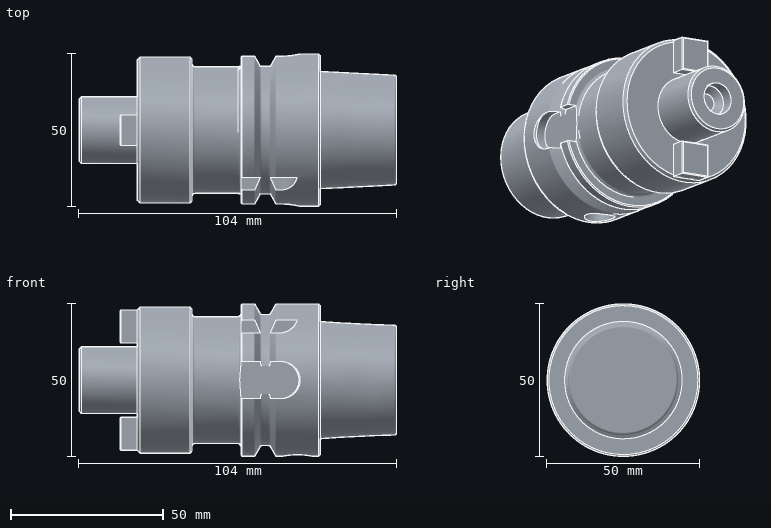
import cadquery as cq
import math

spigot_length = 19.0
flange_width = 26.0
neck_length = 16.0
collar_length = 18.0
taper_length = 25.0
flange_start = -flange_width
neck_start = flange_start - neck_length
collar_start = neck_start - collar_length
spigot_start = collar_start - spigot_length

spigot_dia = 22.0
collar_dia = 48.0
neck_dia = 41.6
flange_dia = 50.0
taper_large_dia = 38.5
taper_ratio = 1 / 10
taper_small_dia = taper_large_dia - taper_length * taper_ratio
spigot_chamfer = 0.8
collar_front_chamfer = 1.0
collar_back_chamfer = 0.7
neck_fillet = 1.0
flange_front_chamfer = 0.4
flange_back_chamfer = 0.6
taper_end_fillet = 0.8

groove_center = -18.0
groove_floor_dia = 43.0
groove_floor_width = 2.9
groove_flank_angle = 30.0
groove_floor_fillet = 0.5
groove_rim_fillet = 0.35

key_width = 10.0
key_height = 5.6
key_inner = 12.1
key_outer = 23.0
key_chamfer = 0.3

slot_width = 12.2
slot_floor = 21.0
slot_end = -7.0
slot_rim_flare = 0.4
notch_edge = 15.45
notch_width = 12.0
notch_end = -7.3
chip_dia = 10.0
chip_x = -7.5
chip_depth = 4.5
recess_dia = 10.5
recess_floor_dia = 6.0
recess_wall_depth = 4.6
recess_cone_depth = 2.25


def chamfered_cylinder(x_start, length, diameter, front=0.0, back=0.0):
    """Cylinder along X with optional chamfers at its -X and +X ends."""
    body = cq.Workplane("YZ", origin=(x_start, 0, 0)).circle(diameter / 2).extrude(length)
    if front:
        body = body.faces("<X").chamfer(front)
    if back:
        body = body.faces(">X").chamfer(back)
    return body


def make_neck():
    """Neck whose two ends flare into the collar and the flange with fillets."""
    radius = neck_dia / 2
    flare = radius + neck_fillet
    return (
        cq.Workplane("XY")
        .moveTo(neck_start, 0)
        .lineTo(neck_start, flare)
        .radiusArc((neck_start + neck_fillet, radius), -neck_fillet)
        .lineTo(flange_start - neck_fillet, radius)
        .radiusArc((flange_start, flare), -neck_fillet)
        .lineTo(flange_start, 0)
        .close()
        .revolve(360, (0, 0, 0), (1, 0, 0))
    )


def make_groove():
    """Ring with a V profile that is removed from the flange."""
    floor = groove_floor_dia / 2
    rim = flange_dia / 2
    half_floor = groove_floor_width / 2
    half_rim = half_floor + (rim - floor) * math.tan(math.radians(groove_flank_angle))
    ring = (
        cq.Workplane("XY")
        .polyline([
            (groove_center - half_floor, floor),
            (groove_center + half_floor, floor),
            (groove_center + half_rim, rim),
            (groove_center - half_rim, rim),
        ])
        .close()
        .revolve(360, (0, 0, 0), (1, 0, 0))
    )
    on_floor = cq.selectors.RadiusNthSelector(0)
    return ring.edges(on_floor).fillet(groove_floor_fillet)


def round_groove_rims(flange):
    """Round the two edges where the groove flanks meet the flange rim."""
    reach = (flange_dia - groove_floor_dia) / 2
    rim = flange_dia / 2
    rims = flange.edges(
        cq.selectors.BoxSelector(
            (groove_center - reach, -rim, -rim), (groove_center + reach, rim, rim)
        )
    ).edges(cq.selectors.RadiusNthSelector(-1))
    return rims.fillet(groove_rim_fillet)


def make_taper():
    cone = (
        cq.Workplane("YZ")
        .circle(taper_large_dia / 2)
        .workplane(offset=taper_length)
        .circle(taper_small_dia / 2)
        .loft()
    )
    return cone.faces(">X").edges().fillet(taper_end_fillet)


def make_key(side):
    """Driving key on the collar face, on the +Z (side = 1) or -Z (side = -1) half."""
    key = cq.Workplane("XY").box(key_height, key_width, key_outer - key_inner)
    key = key.faces("<X").chamfer(key_chamfer)
    return key.translate((collar_start - key_height / 2, 0, side * (key_outer + key_inner) / 2))


def make_slot(floor_y, side, center_z, width, end_x):
    """Round-ended slot cutter, open to -X, reaching outward from y = side * floor_y."""
    arc_x = end_x - width / 2
    bottom = center_z - width / 2
    top = center_z + width / 2
    depth = flange_dia / 2 - floor_y
    profile = (
        cq.Workplane("XZ", origin=(0, side * floor_y, 0))
        .moveTo(flange_start - neck_fillet, bottom)
        .lineTo(arc_x, bottom)
        .threePointArc((end_x, center_z), (arc_x, top))
        .lineTo(flange_start - neck_fillet, top)
        .close()
    )
    return profile.extrude(-side * depth)


def make_slot_flare(side):
    """Cone coaxial with a slot's round end; it widens the end toward the flange rim."""
    half_width = slot_width / 2
    rim = flange_dia / 2
    corner_y = math.sqrt(rim**2 - half_width**2)
    return (
        cq.Workplane("XZ", origin=(slot_end - half_width, side * corner_y, 0))
        .circle(half_width)
        .workplane(offset=-side * (rim - corner_y))
        .circle(half_width + slot_rim_flare)
        .loft()
    )


def make_recess():
    """Round recess in the spigot face, ending in a cone with a flat floor."""
    return (
        cq.Workplane("XY", origin=(spigot_start, 0, 0))
        .lineTo(0, recess_dia / 2)
        .lineTo(recess_wall_depth, recess_dia / 2)
        .lineTo(recess_wall_depth + recess_cone_depth, recess_floor_dia / 2)
        .lineTo(recess_wall_depth + recess_cone_depth, 0)
        .close()
        .revolve(360, (0, 0, 0), (1, 0, 0))
    )


def make_chip_pocket():
    """Blind round pocket in the -Z side of the flange."""
    return (
        cq.Workplane("XY", origin=(chip_x, 0, -flange_dia / 2))
        .circle(chip_dia / 2)
        .extrude(chip_depth)
    )


flange_blank = chamfered_cylinder(
    flange_start, flange_width, flange_dia, flange_front_chamfer, flange_back_chamfer
)
groove = make_groove()
flange = round_groove_rims(flange_blank.cut(groove))

collar = chamfered_cylinder(
    collar_start, collar_length, collar_dia, collar_front_chamfer, collar_back_chamfer
)

result = (
    chamfered_cylinder(spigot_start, spigot_length, spigot_dia, front=spigot_chamfer)
    .union(collar)
    .union(make_neck())
    .union(flange)
    .union(make_taper())
)
for side in (1, -1):
    result = result.union(make_key(side))
    result = result.cut(make_slot(slot_floor, side, 0, slot_width, slot_end))
    result = result.cut(make_slot_flare(side))
notch_center = notch_edge + notch_width / 2
result = result.cut(make_slot(notch_edge, -1, notch_center, notch_width, notch_end))
result = result.cut(make_chip_pocket()).cut(make_recess())